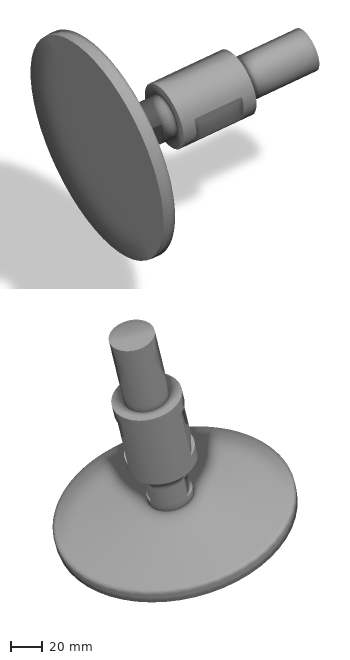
import cadquery as cq

TOTAL_LENGTH = 159.0
FOOT_RADIUS = 158.0 / 2
STEM_RADIUS = 30.0 / 2
SLEEVE_RADIUS = 46.0 / 2

PAD_THICKNESS = 3.8
RIM_TOP = 9.2
CONE_TOP = 20.5
SLEEVE_START = 51.0
SLEEVE_END = 106.2

RIM_FILLET = 2.7
PAD_EDGE_INSET = 0.5

STEM_ACROSS_FLATS = 24.0
STEM_FLAT_START = 25.9
STEM_FLAT_END = 41.2
SLEEVE_ACROSS_FLATS = 41.0
SLEEVE_FLAT_MARGIN = 9.5


def make_pad():
    """Thin disc under the foot whose side tapers slightly inward to the floor."""
    return (
        cq.Workplane("XY")
        .lineTo(FOOT_RADIUS - PAD_EDGE_INSET, 0)
        .lineTo(FOOT_RADIUS, PAD_THICKNESS)
        .lineTo(0, PAD_THICKNESS)
        .close()
        .revolve(360, (0, 0, 0), (0, 1, 0))
    )


def make_plate():
    """Conical foot plate with a rounded shoulder above its cylindrical rim."""
    plate = (
        cq.Workplane("XY")
        .moveTo(0, PAD_THICKNESS)
        .lineTo(FOOT_RADIUS, PAD_THICKNESS)
        .lineTo(FOOT_RADIUS, RIM_TOP)
        .lineTo(STEM_RADIUS, CONE_TOP)
        .lineTo(0, CONE_TOP)
        .close()
        .revolve(360, (0, 0, 0), (0, 1, 0))
    )
    shoulder = cq.selectors.BoxSelector(
        (-2 * FOOT_RADIUS, RIM_TOP - RIM_FILLET, -2 * FOOT_RADIUS),
        (2 * FOOT_RADIUS, RIM_TOP + RIM_FILLET, 2 * FOOT_RADIUS),
    )
    return plate.edges("%CIRCLE").edges(shoulder).fillet(RIM_FILLET)


def round_bar(radius, start, end):
    """Cylinder on the Y axis between two stations."""
    return cq.Workplane("XZ", origin=(0, start, 0)).circle(radius).extrude(start - end)


def cut_flats(bar, radius, across_flats, start, end):
    """Cut two opposite flats, facing -X and +X, into a round bar."""
    for side in (-1, 1):
        cutter = cq.Workplane("XY").box(radius, end - start, 2 * radius)
        offset = side * (across_flats + radius) / 2
        bar = bar.cut(cutter.translate((offset, (start + end) / 2, 0)))
    return bar


def make_foot():
    """Foot plate, stem and sleeve in one piece."""
    stem = round_bar(STEM_RADIUS, CONE_TOP, TOTAL_LENGTH)
    stem = cut_flats(stem, STEM_RADIUS, STEM_ACROSS_FLATS, STEM_FLAT_START, STEM_FLAT_END)
    sleeve = cut_flats(
        round_bar(SLEEVE_RADIUS, SLEEVE_START, SLEEVE_END),
        SLEEVE_RADIUS,
        SLEEVE_ACROSS_FLATS,
        SLEEVE_START + SLEEVE_FLAT_MARGIN,
        SLEEVE_END - SLEEVE_FLAT_MARGIN,
    )
    return make_plate().union(stem).union(sleeve)


pad = make_pad()
foot = make_foot()

result = cq.Compound.makeCompound([pad.val(), *foot.solids().vals()])